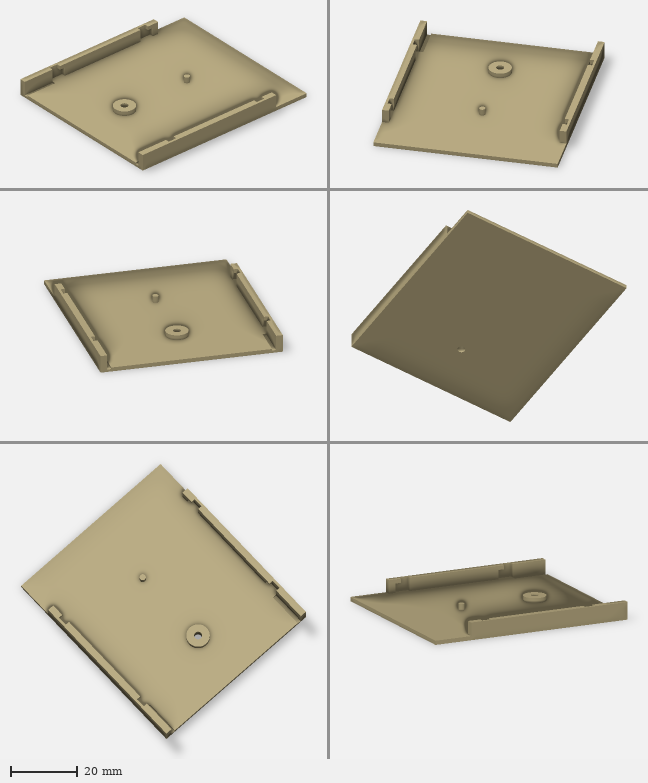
import cadquery as cq

plate_width = 57.0
plate_length = 65.0
plate_thickness = 1.3
front_y = -plate_length / 2

wall_top = 5.5
wall_thickness = 2.1
wall_length = 52.9
wall_inner_x = plate_width / 2 - wall_thickness

notch_depth = 1.3
front_notch_start = 11.0
rear_notch_start = 45.9
notch_length = 3.0

undercut_length = 1.95
lip_thickness = 1.3

groove_width = 1.3
groove_depth = 0.5
groove_length = front_notch_start

boss_diameter = 7.1
boss_hole_diameter = 2.4
boss_height = 1.55
boss_y = -15.5
pin_diameter = 1.9
pin_height = 2.0
pin_y = 9.3


def block(x_start, y_start, z_start, width, length, height):
    """Box placed by its lowest corner."""
    box = cq.Workplane("XY").box(width, length, height, centered=False)
    return box.translate((x_start, y_start, z_start))


def mirrored_pair(body):
    """The body on the +X side together with its mirror image on the -X side."""
    return body.union(body.mirror("YZ"))


def post(y, diameter, height):
    """Cylinder standing on the plate, running from its underside to the given height above its top."""
    return cq.Workplane("XY").center(0, y).circle(diameter / 2).extrude(plate_thickness + height)


def side_wall():
    wall = block(wall_inner_x, front_y, 0, wall_thickness, wall_length, wall_top)
    notch_height = wall_top - plate_thickness
    undercut_height = notch_height - lip_thickness
    for start in (front_notch_start, rear_notch_start):
        notch_y = front_y + start
        notch = block(wall_inner_x, notch_y, plate_thickness, notch_depth, notch_length, notch_height)
        undercut = block(
            wall_inner_x,
            notch_y + notch_length,
            plate_thickness,
            notch_depth,
            undercut_length,
            undercut_height,
        )
        wall = wall.cut(notch).cut(undercut)
    return wall


plate = block(-plate_width / 2, front_y, 0, plate_width, plate_length, plate_thickness)
groove = block(
    wall_inner_x - groove_width,
    front_y,
    plate_thickness - groove_depth,
    groove_width,
    groove_length,
    groove_depth,
)
boss = post(boss_y, boss_diameter, boss_height)
boss_hole = post(boss_y, boss_hole_diameter, boss_height)
pin = post(pin_y, pin_diameter, pin_height)

result = (
    plate.union(mirrored_pair(side_wall()))
    .cut(mirrored_pair(groove))
    .union(boss)
    .union(pin)
    .cut(boss_hole)
)